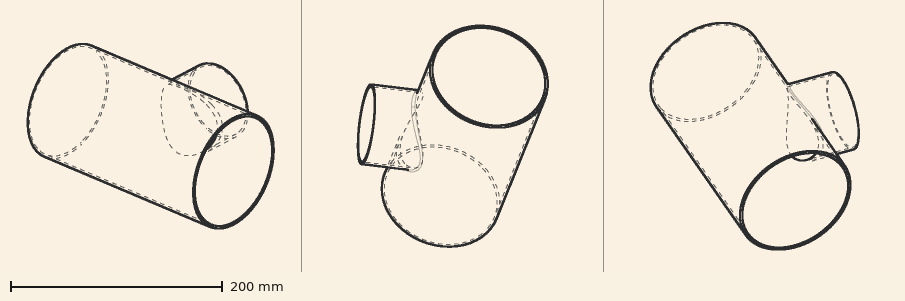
import cadquery as cq

run_length = 210.0
run_outer_diameter = 114.2
run_inner_diameter = 109.2
branch_outer_diameter = 76.0
branch_inner_diameter = 71.5
overall_depth = 152.2
junction_fillet = 3.0

branch_reach = overall_depth - run_outer_diameter / 2


def run_cylinder(diameter):
    """Cylinder along X, centred on the origin."""
    return cq.Workplane("YZ").circle(diameter / 2).extrude(run_length / 2, both=True)


def branch_cylinder(diameter):
    """Cylinder from the run axis out to the branch end along +Y."""
    return cq.Workplane("XZ").circle(diameter / 2).extrude(-branch_reach)


def junction_edges():
    """Selector for the saddle-shaped edge where the branch meets the run."""
    margin = 2.0
    half_width = branch_outer_diameter / 2 + margin
    return cq.selectors.BoxSelector(
        (-half_width, 0, -half_width),
        (half_width, run_outer_diameter / 2 + margin, half_width),
        boundingbox=True,
    )


outer_body = run_cylinder(run_outer_diameter).union(branch_cylinder(branch_outer_diameter))
outer_body = outer_body.edges(junction_edges()).fillet(junction_fillet)

bores = run_cylinder(run_inner_diameter).union(branch_cylinder(branch_inner_diameter))

result = outer_body.cut(bores)